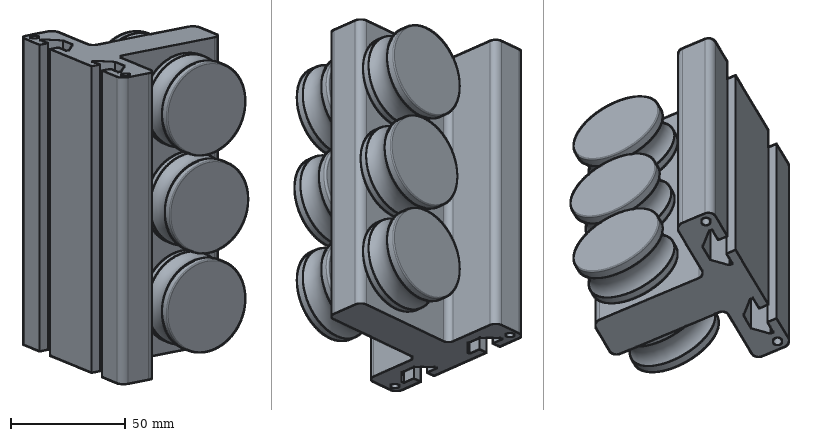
import cadquery as cq

carriage_length = 140.0
flange_width = 78.0
flange_thickness = 18.0
web_width = 20.0
carriage_depth = 73.0
outer_corner_radius = 3.5
web_root_radius = 3.0

slot_offset = 20.0
slot_mouth_width = 8.0
slot_inner_width = 20.0
slot_lip_thickness = 4.5
slot_side_height = 1.5
slot_depth = 12.25

edge_hole_diameter = 4.0
edge_hole_offset = 35.0
edge_hole_y = 5.0

roller_diameter = 42.0
roller_width = 19.2
outer_rim_radius = 0.5
inner_rim_radius = 1.0
roller_offset = 20.0
groove_width = 11.25
groove_depth = 2.1
roller_pitch = 45.0
end_roller_y = 51.75
middle_roller_shift = 1.5


def make_t_slot(center_x):
    """T-slot cutter with a narrow mouth, short side walls and 45 degree shoulders."""
    mouth_half = slot_mouth_width / 2
    inner_half = slot_inner_width / 2
    side_top_y = slot_lip_thickness + slot_side_height
    floor_half = inner_half - (slot_depth - side_top_y)
    right_half = [
        (mouth_half, 0),
        (mouth_half, slot_lip_thickness),
        (inner_half, slot_lip_thickness),
        (inner_half, side_top_y),
        (floor_half, slot_depth),
    ]
    left_half = [(-x, y) for x, y in reversed(right_half)]
    profile = cq.Workplane("XY").polyline(right_half + left_half).close()
    return profile.extrude(carriage_length).translate((center_x, 0, 0))


def make_carriage():
    """T-shaped body with rounded corners, two T-slots and two lengthwise holes."""
    flange = cq.Workplane("XY").box(
        flange_width, flange_thickness, carriage_length, centered=(True, False, False)
    )
    flange = flange.edges("|Z").fillet(outer_corner_radius)
    web = cq.Workplane("XY").box(
        web_width, carriage_depth, carriage_length, centered=(True, False, False)
    )
    web = web.edges("|Z and >Y").fillet(outer_corner_radius)
    body = flange.union(web)

    selection_margin = 1.0
    root_selector = cq.selectors.BoxSelector(
        (-web_width, flange_thickness - selection_margin, 0),
        (web_width, flange_thickness + selection_margin, carriage_length),
    )
    body = body.edges("|Z").edges(root_selector).fillet(web_root_radius)

    for side in (-1, 1):
        body = body.cut(make_t_slot(side * slot_offset))

    hole_points = [(side * edge_hole_offset, edge_hole_y) for side in (-1, 1)]
    holes = cq.Workplane("XY").pushPoints(hole_points).circle(edge_hole_diameter / 2)
    return body.cut(holes.extrude(carriage_length))


def make_roller(center, side):
    """Solid roller with a concave groove and rounded rims; side is the sign of its X position.

    The rim next to the web has the larger rounding.
    """
    radius = roller_diameter / 2
    half_width = roller_width / 2
    half_groove = groove_width / 2
    profile = (
        cq.Workplane("XY")
        .moveTo(-half_width, 0)
        .lineTo(-half_width, radius - inner_rim_radius)
        .radiusArc((-half_width + inner_rim_radius, radius), inner_rim_radius)
        .lineTo(-half_groove, radius)
        .threePointArc((0, radius - groove_depth), (half_groove, radius))
        .lineTo(half_width - outer_rim_radius, radius)
        .radiusArc((half_width, radius - outer_rim_radius), outer_rim_radius)
        .lineTo(half_width, 0)
        .close()
    )
    roller = profile.revolve(360, (0, 0, 0), (1, 0, 0))
    if side < 0:
        roller = roller.rotate((0, 0, 0), (0, 0, 1), 180)
    return roller.translate(center)


carriage = make_carriage()

rollers = []
for side in (-1, 1):
    for step in (-1, 0, 1):
        roller_y = end_roller_y + (middle_roller_shift if step == 0 else 0)
        roller_z = carriage_length / 2 + step * roller_pitch
        rollers.append(make_roller((side * roller_offset, roller_y, roller_z), side))

result = cq.Compound.makeCompound([carriage.val(), *[roller.val() for roller in rollers]])